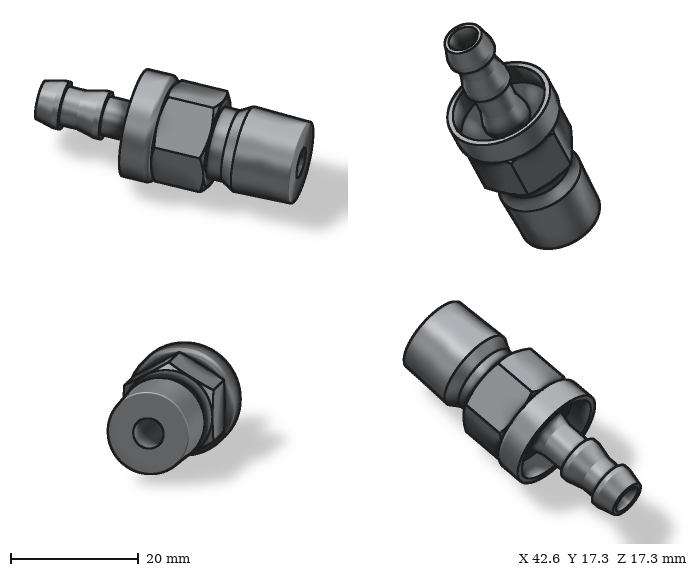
import cadquery as cq

total_length = 42.65
bore_radius = 2.45

tail_radius = 3.1
barb_radius = 3.85
second_barb_start = 6.75
barb_taper_length = 2.9
barb_land_length = 1.02

collar_start = 15.5
collar_end = 20.25
collar_diameter = 17.3
collar_radius = collar_diameter / 2
collar_wall = 0.95
collar_floor = 1.0
collar_fillet = 0.95

barb_length = barb_taper_length + barb_land_length
barb_starts = (0, second_barb_start, collar_end - collar_floor - barb_length)

hex_end = 28.9
hex_corner_radius = 8.28
hex_chamfer_radius = 7.13
hex_chamfer_length = 0.6

neck_radius = 5.75
neck_end = 31.3
shoulder_end = 33.3
shoulder_radius = 6.85
plug_end_radius = 6.55
end_fillet = 0.2


def revolve_about_x(points):
    """Turn an outline of (x, radius) points around the X axis."""
    return cq.Workplane("XY").polyline(points).close().revolve(360, (0, 0, 0), (1, 0, 0))


def cylinder(start, end, radius):
    return cq.Workplane("YZ", origin=(start, 0, 0)).circle(radius).extrude(end - start)


def make_barb(start):
    taper_end = start + barb_taper_length
    land_end = start + barb_length
    return revolve_about_x([
        (start, 0),
        (start, tail_radius),
        (taper_end, barb_radius),
        (land_end, barb_radius),
        (land_end, 0),
    ])


def make_hexagon():
    """Hexagonal prism with its corners turned down to a cone at both ends."""
    prism = (
        cq.Workplane("YZ", origin=(collar_end, 0, 0))
        .polygon(6, 2 * hex_corner_radius)
        .extrude(hex_end - collar_end)
        .rotate((0, 0, 0), (1, 0, 0), 90)
    )
    envelope = revolve_about_x([
        (collar_end, 0),
        (collar_end, hex_chamfer_radius),
        (collar_end + hex_chamfer_length, hex_corner_radius),
        (hex_end - hex_chamfer_length, hex_corner_radius),
        (hex_end, hex_chamfer_radius),
        (hex_end, 0),
    ])
    return prism.intersect(envelope)


def make_plug():
    plug = revolve_about_x([
        (hex_end, 0),
        (hex_end, neck_radius),
        (neck_end, neck_radius),
        (shoulder_end, shoulder_radius),
        (total_length, plug_end_radius),
        (total_length, 0),
    ])
    return plug.faces(">X").edges().fillet(end_fillet)


def make_fitting():
    """Hose tail, hexagon and plug in one piece with a through bore."""
    fitting = cylinder(0, collar_end, tail_radius)
    for start in barb_starts:
        fitting = fitting.union(make_barb(start))
    fitting = fitting.union(make_hexagon()).union(make_plug())
    return fitting.cut(cylinder(0, total_length, bore_radius))


def make_collar():
    """Cup open toward the hose end, seated on the tail against the hexagon."""
    collar = cylinder(collar_start, collar_end, collar_radius).faces(">X").edges().fillet(collar_fillet)
    recess = cylinder(collar_start, collar_end - collar_floor, collar_radius - collar_wall)
    return collar.cut(recess).cut(cylinder(collar_start, collar_end, tail_radius))


fitting = make_fitting()
collar = make_collar()
result = cq.Compound.makeCompound([fitting.val(), collar.val()])